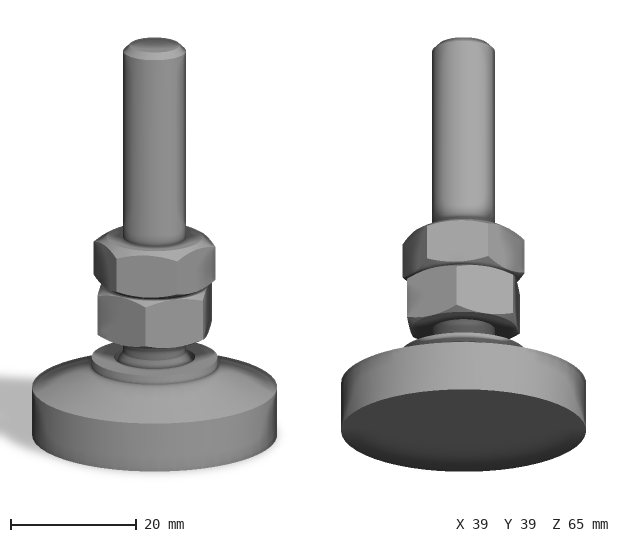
import cadquery as cq
import math

base_diameter = 39.0
base_rim_height = 8.0
collar_diameter = 20.0
collar_bottom = 11.5
collar_top = 13.0

stem_diameter = 10.0
stem_top = 65.0
stem_tip_diameter = 8.0
stem_tip_chamfer = 1.0

ball_diameter = 12.95
ball_radius = ball_diameter / 2
ball_neck_height = 14.0
ball_center = ball_neck_height - math.sqrt(ball_radius**2 - (stem_diameter / 2) ** 2)

hex_across_flats = 17.0
hex_height = 8.0
stem_hex_bottom = 17.05
lock_nut_bottom = stem_hex_bottom + hex_height
stem_hex_face_diameter = hex_across_flats
lock_nut_face_diameter = 15.3
hex_chamfer_angle = 30.0


def make_hexagon(bottom, face_diameter, turn):
    """Hexagonal prism with both ends coned down to a round face."""
    corner_diameter = hex_across_flats / math.cos(math.radians(30))
    corner_radius = corner_diameter / 2
    face_radius = face_diameter / 2
    corner_drop = (corner_radius - face_radius) * math.tan(math.radians(hex_chamfer_angle))
    prism = (
        cq.Workplane("XY")
        .polygon(6, corner_diameter)
        .extrude(hex_height)
        .rotate((0, 0, 0), (0, 0, 1), turn)
    )
    envelope = (
        cq.Workplane("XZ")
        .moveTo(0, 0)
        .lineTo(face_radius, 0)
        .lineTo(corner_radius, corner_drop)
        .lineTo(corner_radius, hex_height - corner_drop)
        .lineTo(face_radius, hex_height)
        .lineTo(0, hex_height)
        .close()
        .revolve(360, (0, 0, 0), (0, 1, 0))
    )
    return prism.intersect(envelope).translate((0, 0, bottom))


def make_ball():
    """Sphere shared by the stem's ball end and the base's seat."""
    return cq.Workplane("XY").sphere(ball_radius).translate((0, 0, ball_center))


def make_base():
    """Round foot with a sloping shoulder, a collar and a round-bottomed ball socket."""
    profile = (
        cq.Workplane("XZ")
        .moveTo(0, 0)
        .lineTo(base_diameter / 2, 0)
        .lineTo(base_diameter / 2, base_rim_height)
        .lineTo(collar_diameter / 2, collar_bottom)
        .lineTo(collar_diameter / 2, collar_top)
        .lineTo(0, collar_top)
        .close()
    )
    socket_mouth = (
        cq.Workplane("XY")
        .circle(ball_radius)
        .extrude(collar_top - ball_center)
        .translate((0, 0, ball_center))
    )
    foot = profile.revolve(360, (0, 0, 0), (0, 1, 0))
    return foot.cut(make_ball()).cut(socket_mouth)


def make_stem():
    """Round rod with a ball end, a chamfered tip and a wrench hexagon."""
    rod = (
        cq.Workplane("XZ")
        .moveTo(0, ball_center)
        .lineTo(stem_diameter / 2, ball_center)
        .lineTo(stem_diameter / 2, stem_top - stem_tip_chamfer)
        .lineTo(stem_tip_diameter / 2, stem_top)
        .lineTo(0, stem_top)
        .close()
        .revolve(360, (0, 0, 0), (0, 1, 0))
    )
    hexagon = make_hexagon(stem_hex_bottom, stem_hex_face_diameter, 0)
    return rod.union(make_ball()).union(hexagon)


def make_lock_nut():
    """Loose nut resting on the stem hexagon, with corners on the Y axis."""
    bore = (
        cq.Workplane("XY")
        .circle(stem_diameter / 2)
        .extrude(hex_height)
        .translate((0, 0, lock_nut_bottom))
    )
    return make_hexagon(lock_nut_bottom, lock_nut_face_diameter, 30).cut(bore)


base = make_base()
stem = make_stem()
lock_nut = make_lock_nut()

result = cq.Compound.makeCompound([body.solids().val() for body in (base, stem, lock_nut)])